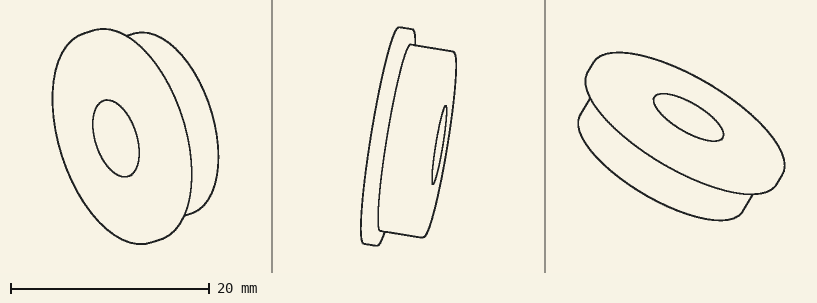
import cadquery as cq

flange_diameter = 22.1
body_diameter = 19.0
bore_diameter = 8.0
total_length = 6.0
flange_thickness = 1.5
flange_edge_radius = 0.13
body_edge_radius = 0.27


def disc(diameter, length):
    """Solid cylinder running from the flange face (Y = 0) toward +Y."""
    return cq.Workplane("XZ").circle(diameter / 2).extrude(-length)


flange = disc(flange_diameter, flange_thickness).edges().fillet(flange_edge_radius)

body = disc(body_diameter, total_length).faces(">Y").edges().fillet(body_edge_radius)

bore = disc(bore_diameter, total_length)

result = flange.union(body).cut(bore)